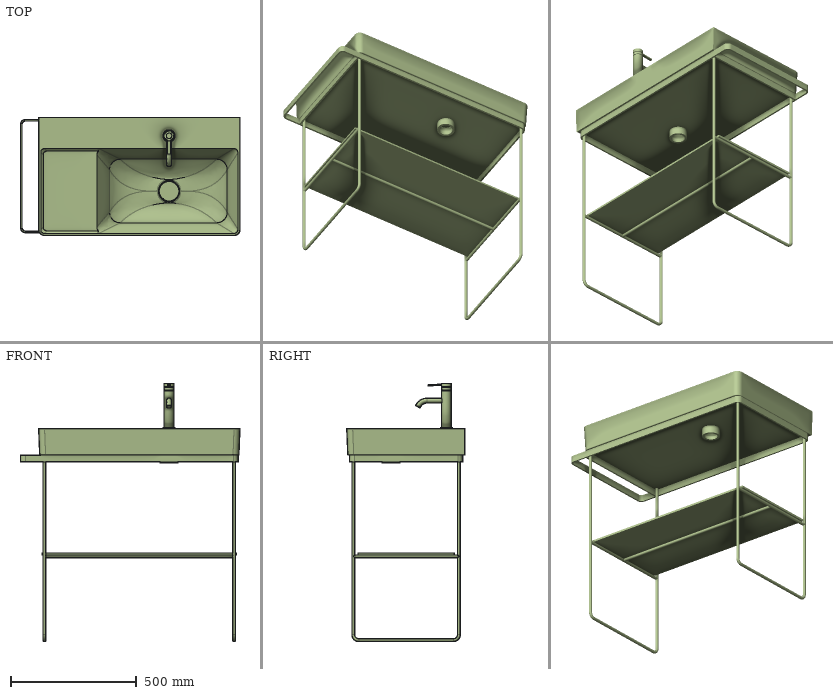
import cadquery as cq
import math


basin_width = 800.0
basin_depth = 469.3
basin_top = 847.0
basin_bottom = 741.0
basin_draft = 4.0
rim_band = 5.0
basin_corner = 24.0
basin_edge_round = 2.5
rim_width = 9.0
deck_depth = 124.0
opening_corner = 14.0
tray_depth = 9.0
tray_inset = 10.0
bowl_left = -176.0
bowl_corner = 16.0
wall_foot_level = 777.0
wall_foot_corner = 42.0
wall_foot_inset_side = 42.0
wall_foot_inset_left = 58.0
knee_level = 758.0
knee_inset = 34.0
knee_corner = 50.0
bowl_floor = 747.0
floor_radius = 46.0
floor_patch_corner = 44.0

waste_x = 118.0
waste_y = -293.0
flange_diameter = 84.0
flange_thickness = 3.0
outlet_diameter = 70.0
outlet_bore = 52.0
outlet_bottom = 709.0
cover_diameter = 78.0
cover_thickness = 4.0

rail_left = -471.89
rail_right = 393.0
rail_back = -8.0
rail_front = -458.0
rail_bar = 7.0
rail_height = 27.0
rail_corner = 20.0

tube_diameter = 12.0
leg_x = 376.5
leg_back = -23.5
leg_front = -443.0
leg_bend = 22.0

shelf_width = 772.0
shelf_back = -41.5
shelf_front = -425.0
shelf_top = 353.0
shelf_thickness = 8.0

faucet_x = waste_x
faucet_y = -73.0
faucet_diameter = 40.0
base_diameter = 48.0
base_thickness = 4.0
body_top = 996.0
spout_diameter = 20.0
spout_level = 957.0
spout_straight_end = -150.0
spout_bend = 40.0
spout_turn = math.radians(60)
spout_tip = 5.0

lever_top = 1025.45
neck_diameter = 34.0
neck_height = 4.0
head_groove_level = 1009.0
cap_recess_diameter = 22.0
cap_recess_depth = 1.5
lever_width = 11.0
lever_thickness = 5.0
lever_end = -146.0
lever_drop = 4.0

basin_right = basin_width / 2
basin_left = -basin_right
basin_front = -basin_depth
opening_left = basin_left + rim_width
opening_right = basin_right - rim_width
opening_back = -deck_depth
opening_front = basin_front + rim_width
foot_left = bowl_left + wall_foot_inset_left
foot_right = opening_right - wall_foot_inset_side
foot_back = opening_back - wall_foot_inset_side
foot_front = opening_front + wall_foot_inset_side
flange_radius = flange_diameter / 2
rail_bottom = basin_bottom - rail_height
tube_radius = tube_diameter / 2
shelf_bottom = shelf_top - shelf_thickness
carrier_level = shelf_bottom - tube_radius


def block_between(left, right, back, front, bottom, height):
    """Box given by its side positions, its underside and its height."""
    base = cq.Workplane("XY", origin=((left + right) / 2, (back + front) / 2, bottom))
    return base.rect(right - left, back - front).extrude(height)


def flat_outline(left, right, back, front, level, radius):
    """Wire of a rounded rectangle lying flat at the given level."""
    block = block_between(left, right, back, front, level, 1.0).edges("|Z").fillet(radius)
    return block.faces("<Z").wires().val()


def ruled_solid(outlines):
    """Solid whose straight-ruled sides pass through the outlines in order."""
    return cq.Workplane(obj=cq.Solid.makeLoft(outlines, True))


def cylinder(x, y, bottom, diameter, height):
    return cq.Workplane("XY", origin=(x, y, bottom)).circle(diameter / 2).extrude(height)


def make_basin_shell():
    """Outer block: upright back, leaning sides and front, rounded corners and edges."""
    def outline(level, lean):
        half = basin_right - lean
        front = basin_front + lean
        sides = (
            cq.Workplane("XY", origin=(0, 0, level))
            .moveTo(-half, 0)
            .lineTo(-half, front + basin_corner)
            .radiusArc((-half + basin_corner, front), -basin_corner)
            .lineTo(half - basin_corner, front)
            .radiusArc((half, front + basin_corner), -basin_corner)
            .lineTo(half, 0)
            .close()
        )
        return sides.val()

    foot = outline(basin_bottom, basin_draft)
    band = outline(basin_top - rim_band, 0.0)
    rim = outline(basin_top, 0.0)
    shell = ruled_solid([foot, band, rim])
    back_edges = cq.selectors.BoxSelector((basin_left, -1, 0), (basin_right, 1, basin_top + 1))
    edges_to_round = shell.faces("<Z or >Z").edges(cq.selectors.InverseSelector(back_edges))
    return edges_to_round.fillet(basin_edge_round)


def make_tray_pocket():
    """Shallow recess with sloping sides across the whole opening."""
    mouth = flat_outline(
        opening_left, opening_right, opening_back, opening_front, basin_top, opening_corner
    )
    bed = flat_outline(
        opening_left + tray_inset,
        opening_right - tray_inset,
        opening_back - tray_inset,
        opening_front + tray_inset,
        basin_top - tray_depth,
        opening_corner,
    )
    return ruled_solid([bed, mouth])


def make_bowl_pocket():
    """Deep bowl: sloping walls, rounded foot and a floor falling to the waste."""
    mouth = flat_outline(bowl_left, opening_right, opening_back, opening_front, basin_top, bowl_corner)
    wall_foot = flat_outline(
        foot_left, foot_right, foot_back, foot_front, wall_foot_level, wall_foot_corner
    )
    knee = flat_outline(
        foot_left + knee_inset,
        foot_right - knee_inset,
        foot_back - knee_inset,
        foot_front + knee_inset,
        knee_level,
        knee_corner,
    )
    floor = flat_outline(
        waste_x - floor_radius,
        waste_x + floor_radius,
        waste_y + floor_radius,
        waste_y - floor_radius,
        bowl_floor,
        floor_patch_corner,
    )
    dish = cq.Workplane(obj=cq.Solid.makeLoft([floor, knee, wall_foot]))
    return dish.union(ruled_solid([wall_foot, mouth]))


def make_basin():
    flange_seat = cylinder(
        waste_x, waste_y, bowl_floor - flange_thickness, flange_diameter, flange_thickness
    )
    outlet_hole = cylinder(
        waste_x, waste_y, basin_bottom, outlet_diameter, bowl_floor - basin_bottom
    )
    basin = make_basin_shell().cut(make_tray_pocket()).cut(make_bowl_pocket())
    return basin.cut(flange_seat).cut(outlet_hole)


def make_waste_outlet():
    """Flanged pipe that fills the hole in the basin floor."""
    pipe = cylinder(waste_x, waste_y, outlet_bottom, outlet_diameter, bowl_floor - outlet_bottom)
    flange = cylinder(
        waste_x, waste_y, bowl_floor - flange_thickness, flange_diameter, flange_thickness
    )
    bore = cylinder(waste_x, waste_y, outlet_bottom, outlet_bore, bowl_floor - outlet_bottom)
    return pipe.union(flange).cut(bore)


def make_waste_cover():
    return cylinder(waste_x, waste_y, bowl_floor, cover_diameter, cover_thickness)


def make_rail():
    """Flat bar bent into a closed loop, a towel rail on the left, with a cross bar under the basin."""
    loop = block_between(rail_left, rail_right, rail_back, rail_front, rail_bottom, rail_height)
    loop = loop.edges("|Z").fillet(rail_corner)
    inside = block_between(
        rail_left + rail_bar,
        rail_right - rail_bar,
        rail_back - rail_bar,
        rail_front + rail_bar,
        rail_bottom,
        rail_height,
    )
    inside = inside.edges("|Z").fillet(rail_corner - rail_bar)
    cross_bar = block_between(
        -rail_right, -rail_right + rail_bar, rail_back, rail_front, rail_bottom, rail_height
    )
    return loop.cut(inside).union(cross_bar)


def make_leg_frame(x):
    """Round tube: down the back, along the floor, and up the front to the basin."""
    floor_line = tube_radius
    bend_top = floor_line + leg_bend
    path = (
        cq.Workplane("YZ", origin=(x, 0, 0))
        .moveTo(leg_back, basin_bottom)
        .lineTo(leg_back, bend_top)
        .radiusArc((leg_back - leg_bend, floor_line), leg_bend)
        .lineTo(leg_front + leg_bend, floor_line)
        .radiusArc((leg_front, bend_top), leg_bend)
        .lineTo(leg_front, basin_bottom)
    )
    profile = cq.Workplane("XY", origin=(x, leg_back, basin_bottom)).circle(tube_radius)
    return profile.sweep(path)


def make_shelf():
    return block_between(
        -shelf_width / 2, shelf_width / 2, shelf_back, shelf_front, shelf_bottom, shelf_thickness
    )


def make_shelf_carrier(leg_frames):
    """H of round tube under the shelf, its ends saddled on the legs."""
    middle = (shelf_back + shelf_front) / 2
    carrier = (
        cq.Workplane("YZ", origin=(-leg_x, middle, carrier_level))
        .circle(tube_radius)
        .extrude(2 * leg_x)
    )
    for x in (-leg_x, leg_x):
        side_tube = (
            cq.Workplane("XZ", origin=(x, leg_back, carrier_level))
            .circle(tube_radius)
            .extrude(leg_back - leg_front)
        )
        carrier = carrier.union(side_tube)
    for leg_frame in leg_frames:
        carrier = carrier.cut(leg_frame)
    return carrier


def make_spout():
    """Level tube that bends down at its end."""
    bend_y = spout_straight_end - spout_bend * math.sin(spout_turn)
    bend_z = spout_level - spout_bend * (1 - math.cos(spout_turn))
    tip_y = bend_y - spout_tip * math.cos(spout_turn)
    tip_z = bend_z - spout_tip * math.sin(spout_turn)
    path = (
        cq.Workplane("YZ", origin=(faucet_x, 0, 0))
        .moveTo(faucet_y, spout_level)
        .lineTo(spout_straight_end, spout_level)
        .radiusArc((bend_y, bend_z), -spout_bend)
        .lineTo(tip_y, tip_z)
    )
    profile = cq.Workplane("XZ", origin=(faucet_x, faucet_y, spout_level)).circle(spout_diameter / 2)
    return profile.sweep(path)


def make_faucet_body():
    base = cylinder(faucet_x, faucet_y, basin_top, base_diameter, base_thickness)
    column = cylinder(faucet_x, faucet_y, basin_top, faucet_diameter, body_top - basin_top)
    return base.union(column).union(make_spout())


def make_faucet_lever():
    """Grooved round head on a neck, with a flat lever that dips towards its tip."""
    neck_top = body_top + neck_height
    groove_top = head_groove_level + neck_height
    neck = cylinder(faucet_x, faucet_y, body_top, neck_diameter, lever_top - body_top)
    lower_head = cylinder(
        faucet_x, faucet_y, neck_top, faucet_diameter, head_groove_level - neck_top
    )
    upper_head = cylinder(faucet_x, faucet_y, groove_top, faucet_diameter, lever_top - groove_top)
    blade_top = lever_top - cap_recess_depth
    blade = (
        cq.Workplane("YZ", origin=(faucet_x, 0, 0))
        .moveTo(faucet_y, blade_top)
        .lineTo(lever_end, blade_top - lever_drop)
        .lineTo(lever_end, blade_top - lever_drop - lever_thickness)
        .lineTo(faucet_y, blade_top - lever_thickness)
        .close()
        .extrude(lever_width / 2, both=True)
    )
    cap_recess = cylinder(
        faucet_x, faucet_y, lever_top - cap_recess_depth, cap_recess_diameter, cap_recess_depth
    )
    return neck.union(lower_head).union(upper_head).union(blade).cut(cap_recess)


basin = make_basin()
waste_outlet = make_waste_outlet()
waste_cover = make_waste_cover()
rail = make_rail()
leg_frames = [make_leg_frame(x) for x in (-leg_x, leg_x)]
shelf = make_shelf()
shelf_carrier = make_shelf_carrier(leg_frames)
faucet_body = make_faucet_body()
faucet_lever = make_faucet_lever()

result = cq.Compound.makeCompound([
    basin.val(),
    waste_outlet.val(),
    waste_cover.val(),
    rail.val(),
    *[leg_frame.val() for leg_frame in leg_frames],
    shelf.val(),
    shelf_carrier.val(),
    faucet_body.val(),
    faucet_lever.val(),
])